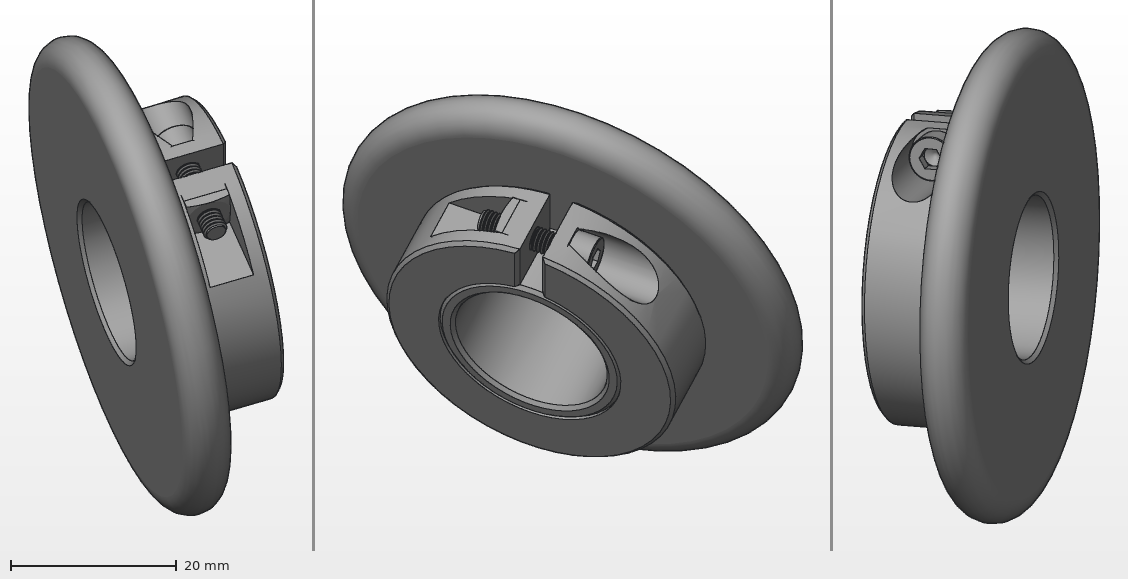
import cadquery as cq
import math

disc_diameter = 60.0
disc_thickness = 6.0
bore_diameter = 20.0
bore_chamfer = 0.5
sleeve_diameter = 24.0
sleeve_chamfer = 0.5
relief_diameter = 23.4
relief_length = 2.0

collar_diameter = 38.05
collar_width = 10.0
collar_chamfer = 0.5
slot_width = 3.0

screw_height = 15.65
seat_offset = 3.5
thread_diameter = 3.0
thread_root_diameter = 2.45
thread_pitch = 0.5
thread_crest_width = 0.05
thread_flank_angle = math.radians(30)
shank_length = 12.0
plain_tip_length = 0.2
head_diameter = 5.5
head_length = 3.0
head_chamfer = 0.1
socket_across_flats = 2.5
socket_depth = 1.5
socket_cone_depth = 0.7
counterbore_diameter = 6.6

nut_size = 5.5
nut_thickness = 2.4
nut_chamfer_angle = math.radians(15)
pocket_size = 5.6

rim_radius = disc_thickness / 2
back_y = disc_thickness + collar_width
collar_mid_y = disc_thickness + collar_width / 2
relief_end_y = disc_thickness + relief_length
tool_reach = disc_diameter


def cylinder_along_y(diameter, start_y, length):
    """Solid cylinder on the part axis, running toward +Y from start_y."""
    plane = cq.Workplane("XZ", origin=(0, start_y, 0))
    return plane.circle(diameter / 2).extrude(-length)


def screw_line(x):
    """Workplane on the screw axis at the given X, with its normal along +X."""
    return cq.Workplane("YZ", origin=(x, collar_mid_y, screw_height))


def make_hub():
    bore_radius = bore_diameter / 2
    sleeve_radius = sleeve_diameter / 2
    relief_radius = relief_diameter / 2
    rim_centre_radius = disc_diameter / 2 - rim_radius
    profile = (
        cq.Workplane("YZ")
        .moveTo(0, bore_radius + bore_chamfer)
        .lineTo(0, rim_centre_radius)
        .threePointArc((rim_radius, disc_diameter / 2), (disc_thickness, rim_centre_radius))
        .lineTo(disc_thickness, relief_radius)
        .lineTo(relief_end_y, relief_radius)
        .lineTo(relief_end_y, sleeve_radius)
        .lineTo(back_y - sleeve_chamfer, sleeve_radius)
        .lineTo(back_y, sleeve_radius - sleeve_chamfer)
        .lineTo(back_y, bore_radius + bore_chamfer)
        .lineTo(back_y - bore_chamfer, bore_radius)
        .lineTo(bore_chamfer, bore_radius)
        .close()
    )
    return profile.revolve(360, (0, 0), (1, 0))


def make_collar():
    ring = cylinder_along_y(collar_diameter, disc_thickness, collar_width)
    slot_plane = cq.Workplane("XY", origin=(0, collar_mid_y, 0))
    ring = ring.cut(slot_plane.rect(slot_width, collar_width).extrude(tool_reach))
    ring = ring.faces("<Y or >Y").chamfer(collar_chamfer)
    ring = ring.cut(cylinder_along_y(sleeve_diameter, disc_thickness, collar_width))

    counterbore = screw_line(-seat_offset).circle(counterbore_diameter / 2).extrude(-tool_reach)
    shank_hole = screw_line(-seat_offset).circle(thread_diameter / 2).extrude(2 * seat_offset)
    nut_pocket = screw_line(seat_offset).rect(pocket_size, pocket_size).extrude(tool_reach)
    return ring.cut(counterbore).cut(shank_hole).cut(nut_pocket)


def make_screw():
    head = screw_line(-seat_offset).circle(head_diameter / 2).extrude(-head_length)
    head = head.faces("<X").edges().chamfer(head_chamfer)

    root_radius = thread_root_diameter / 2
    crest_radius = thread_diameter / 2
    flank_run = (crest_radius - root_radius) * math.tan(thread_flank_angle)
    threaded_length = shank_length - plain_tip_length
    ridge_count = math.floor(threaded_length / thread_pitch)
    thread_start = threaded_length - ridge_count * thread_pitch
    outline = [(0, 0), (0, root_radius)]
    for ridge in range(ridge_count):
        crest_start = thread_start + (ridge + 0.5) * thread_pitch - thread_crest_width / 2
        crest_end = crest_start + thread_crest_width
        outline += [
            (crest_start - flank_run, root_radius),
            (crest_start, crest_radius),
            (crest_end, crest_radius),
            (crest_end + flank_run, root_radius),
        ]
    outline += [(shank_length, root_radius), (shank_length, 0)]
    shank = (
        cq.Workplane("XZ", origin=(-seat_offset, collar_mid_y, screw_height))
        .polyline(outline)
        .close()
        .revolve(360, (0, 0), (1, 0))
    )

    socket_corner_diameter = socket_across_flats / math.cos(math.radians(30))
    head_face_x = -seat_offset - head_length
    socket = screw_line(head_face_x).polygon(6, socket_corner_diameter).extrude(socket_depth)
    socket_cone = (
        cq.Workplane("XZ", origin=(head_face_x + socket_depth, collar_mid_y, screw_height))
        .polyline([(0, 0), (0, socket_across_flats / 2), (socket_cone_depth, 0)])
        .close()
        .revolve(360, (0, 0), (1, 0))
    )
    return head.union(shank).cut(socket).cut(socket_cone)


def make_nut():
    block = screw_line(seat_offset).rect(nut_size, nut_size).extrude(nut_thickness)
    corner_radius = nut_size / math.sqrt(2)
    corner_drop = (corner_radius - nut_size / 2) * math.tan(nut_chamfer_angle)
    turned = (
        cq.Workplane("XZ", origin=(seat_offset, collar_mid_y, screw_height))
        .moveTo(0, 0)
        .lineTo(0, corner_radius)
        .lineTo(nut_thickness - corner_drop, corner_radius)
        .lineTo(nut_thickness, nut_size / 2)
        .lineTo(nut_thickness, 0)
        .close()
        .revolve(360, (0, 0), (1, 0))
    )
    hole = screw_line(seat_offset).circle(thread_diameter / 2).extrude(nut_thickness)
    return block.intersect(turned).cut(hole)


hub = make_hub()
collar = make_collar()
screw = make_screw()
nut = make_nut()

result = cq.Compound.makeCompound([hub.val(), collar.val(), screw.val(), nut.val()])